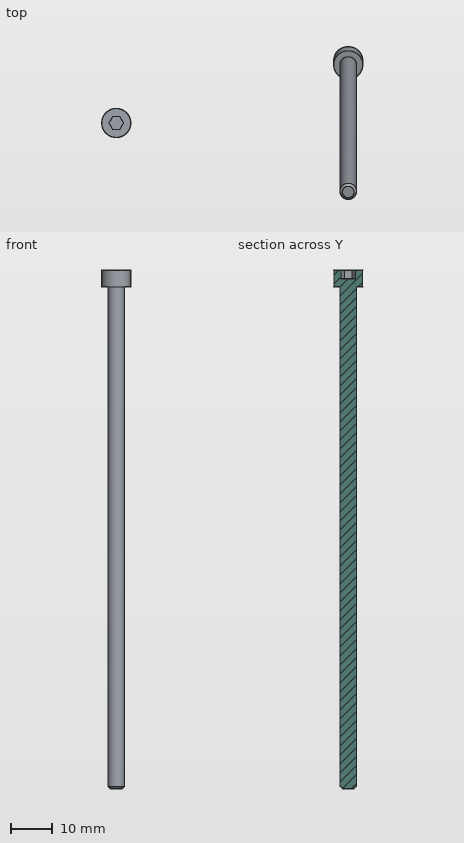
import cadquery as cq
import math

shank_diameter = 4.0
shank_length = 120.0
thread_length = 20.0
tip_chamfer = 0.6

head_diameter = 7.0
head_height = 4.0

socket_sides = 6
socket_across_flats = 3.0
socket_across_corners = socket_across_flats / math.cos(math.pi / socket_sides)
socket_depth = head_height / 2


def make_head():
    """Plain cylindrical head standing on the bearing face."""
    return cq.Workplane("XY").circle(head_diameter / 2).extrude(head_height)


def make_plain_shank():
    """Unthreaded length directly below the head."""
    plain_length = shank_length - thread_length
    return cq.Workplane("XY").circle(shank_diameter / 2).extrude(-plain_length)


def make_threaded_end():
    """Threaded length at its major diameter, with a chamfered tip."""
    return (
        cq.Workplane("XY", origin=(0, 0, -shank_length))
        .circle(shank_diameter / 2)
        .extrude(thread_length)
        .faces("<Z")
        .chamfer(tip_chamfer)
    )


def make_socket():
    """Hexagonal key recess with two corners on the X axis."""
    return (
        cq.Workplane("XY", origin=(0, 0, head_height))
        .polygon(socket_sides, socket_across_corners)
        .extrude(-socket_depth)
    )


body = make_head().union(make_plain_shank()).union(make_threaded_end(), clean=False)
result = body.cut(make_socket(), clean=False)